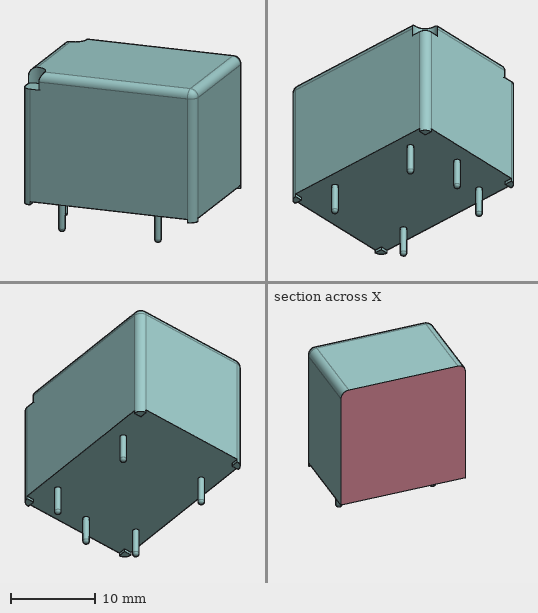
import cadquery as cq

LENGTH = 22.0
WIDTH = 16.0
OVERALL_HEIGHT = 19.9
PIN_REACH = 3.5
TOP_Z = OVERALL_HEIGHT - PIN_REACH
STANDOFF = 0.4
EDGE_RADIUS = 1.0

NOTCH_RADIUS = 1.5
NOTCH_DEPTH = 2.0

PIN_DIAMETER = 0.8
PIN_TIP_RADIUS = 0.39
COMMON_PIN_X = -LENGTH / 2 + 2.3
COIL_PIN_X = COMMON_PIN_X + 2.0
CONTACT_PIN_X = COMMON_PIN_X + 14.2
PIN_ROW_Y = 6.0
PIN_POSITIONS = [
    (COMMON_PIN_X, 0),
    (COIL_PIN_X, -PIN_ROW_Y),
    (COIL_PIN_X, PIN_ROW_Y),
    (CONTACT_PIN_X, -PIN_ROW_Y),
    (CONTACT_PIN_X, PIN_ROW_Y),
]

CORNER_X = LENGTH / 2 - EDGE_RADIUS
CORNER_Y = WIDTH / 2 - EDGE_RADIUS


def make_housing():
    """Rounded box reaching down to Z = 0, including the height of the feet."""
    box = cq.Workplane("XY").box(LENGTH, WIDTH, TOP_Z, centered=(True, True, False))
    return box.edges("|Z").fillet(EDGE_RADIUS).faces(">Z").edges().fillet(EDGE_RADIUS)


def make_foot_relief():
    """Cross-shaped cut under the housing that leaves a quarter-round foot in each corner."""
    lengthwise = cq.Workplane("XY").box(LENGTH, 2 * CORNER_Y, STANDOFF, centered=(True, True, False))
    crosswise = cq.Workplane("XY").box(2 * CORNER_X, WIDTH, STANDOFF, centered=(True, True, False))
    return lengthwise.union(crosswise)


def make_notches():
    """Cylinders, coaxial with the -X corner roundings, that cut the top corners."""
    return (
        cq.Workplane("XY", origin=(0, 0, TOP_Z - NOTCH_DEPTH))
        .pushPoints([(-CORNER_X, -CORNER_Y), (-CORNER_X, CORNER_Y)])
        .circle(NOTCH_RADIUS)
        .extrude(NOTCH_DEPTH)
    )


def make_pins():
    """Pins from the underside of the housing down to their domed tips."""
    return (
        cq.Workplane("XY", origin=(0, 0, STANDOFF))
        .pushPoints(PIN_POSITIONS)
        .circle(PIN_DIAMETER / 2)
        .extrude(-(STANDOFF + PIN_REACH))
        .faces("<Z")
        .edges()
        .fillet(PIN_TIP_RADIUS)
    )


housing = make_housing().cut(make_foot_relief()).cut(make_notches())
result = housing.union(make_pins())